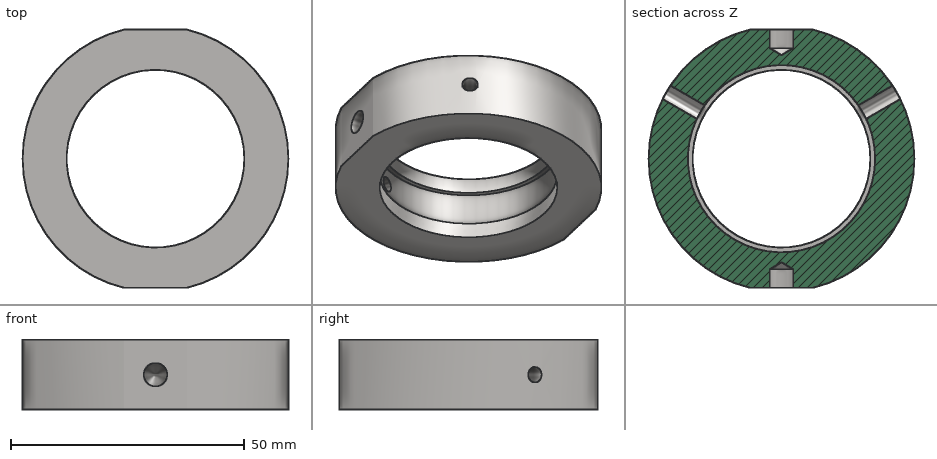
import cadquery as cq
import math

outer_diameter = 57.0
bore_diameter = 38.0
height = 15.0
width_across_flats = 55.4

groove_width = 8.0
groove_depth = 1.0

pivot_diameter = 5.0
pivot_depth = 4.0
drill_tip_angle = 118.0

screw_diameter = 3.3
screw_angles = (30, 150)

mid_height = height / 2


def ring():
    """Ring with a flat on the -Y and +Y sides."""
    disc = cq.Workplane("XY").circle(outer_diameter / 2).circle(bore_diameter / 2).extrude(height)
    flats = cq.Workplane("XY").rect(outer_diameter, width_across_flats).extrude(height)
    return disc.intersect(flats)


def groove():
    """Wide groove around the bore."""
    groove_radius = bore_diameter / 2 + groove_depth
    return (
        cq.Workplane("XY")
        .workplane(offset=mid_height - groove_width / 2)
        .circle(groove_radius)
        .extrude(groove_width)
    )


def pivot_hole():
    """Cone-tipped blind hole entering the -Y flat."""
    radius = pivot_diameter / 2
    tip_length = radius / math.tan(math.radians(drill_tip_angle / 2))
    flat_y = -width_across_flats / 2
    shoulder_y = flat_y + pivot_depth
    profile = (
        cq.Workplane("XY")
        .moveTo(0, flat_y)
        .lineTo(radius, flat_y)
        .lineTo(radius, shoulder_y)
        .lineTo(0, shoulder_y + tip_length)
        .close()
    )
    return profile.revolve(360, (0, 0), (0, 1)).translate((0, 0, mid_height))


def screw_hole(angle):
    """Radial hole from the ring axis outward at the given angle from +X."""
    drill = cq.Workplane("YZ").circle(screw_diameter / 2).extrude(outer_diameter)
    return drill.translate((0, 0, mid_height)).rotate((0, 0, 0), (0, 0, 1), angle)


result = ring().cut(groove())
for side_angle in (0, 180):
    result = result.cut(pivot_hole().rotate((0, 0, 0), (0, 0, 1), side_angle))
for screw_angle in screw_angles:
    result = result.cut(screw_hole(screw_angle))